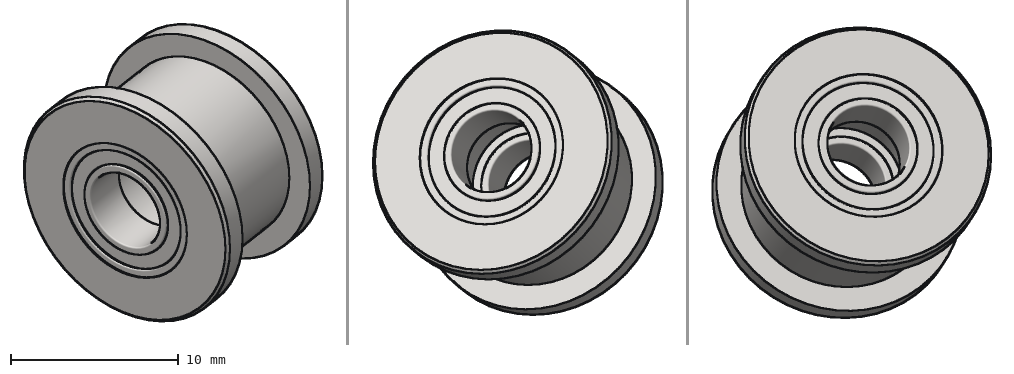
import cadquery as cq

flange_diameter = 15.0
hub_diameter = 12.0
width = 10.0
flange_thickness = 1.5
flange_chamfer = 0.2
shoulder_bore = 7.0

bearing_outside = 9.0
outer_ring_inside = 8.0
inner_ring_outside = 6.0
bearing_bore = 5.0
bearing_width = 3.0
edge_radius = 0.1
shield_recess = 0.1

half_width = width / 2


def cylinder(diameter, length):
    """Solid cylinder along Y, centred on the origin."""
    return cq.Workplane("XZ", origin=(0, length / 2, 0)).circle(diameter / 2).extrude(length)


def ring(outside, inside, length):
    """Plain ring along Y, centred on the origin."""
    return cylinder(outside, length).cut(cylinder(inside, length))


def make_pulley():
    """Hub with two flanges, a through bore and a bearing seat at each end."""
    flange_offset = half_width - flange_thickness / 2
    seat_offset = half_width - bearing_width / 2
    pulley = cylinder(hub_diameter, width)
    for side in (-1, 1):
        outer_face = "<Y" if side < 0 else ">Y"
        flange = cylinder(flange_diameter, flange_thickness)
        flange = flange.faces(outer_face).edges().chamfer(flange_chamfer)
        pulley = pulley.union(flange.translate((0, side * flange_offset, 0)))
    pulley = pulley.cut(cylinder(shoulder_bore, width))
    for side in (-1, 1):
        seat = cylinder(bearing_outside, bearing_width)
        pulley = pulley.cut(seat.translate((0, side * seat_offset, 0)))
    return pulley.clean()


def rounded_ring(outside, inside, length):
    """Ring along Y with all four circular edges rounded."""
    return ring(outside, inside, length).faces("<Y or >Y").edges().fillet(edge_radius)


def make_bearing(center_y):
    """Shielded bearing: inner and outer rings joined by an annular shield, all with rounded edges."""
    outer_ring = rounded_ring(bearing_outside, outer_ring_inside, bearing_width)
    shield = rounded_ring(outer_ring_inside, inner_ring_outside, bearing_width - 2 * shield_recess)
    inner_ring = rounded_ring(inner_ring_outside, bearing_bore, bearing_width)
    bearing = outer_ring.union(shield).union(inner_ring)
    return bearing.translate((0, center_y, 0))


pulley = make_pulley()
bearing_offset = half_width - bearing_width / 2
bearings = [make_bearing(side * bearing_offset) for side in (-1, 1)]

result = cq.Compound.makeCompound([pulley.val(), *[bearing.val() for bearing in bearings]])